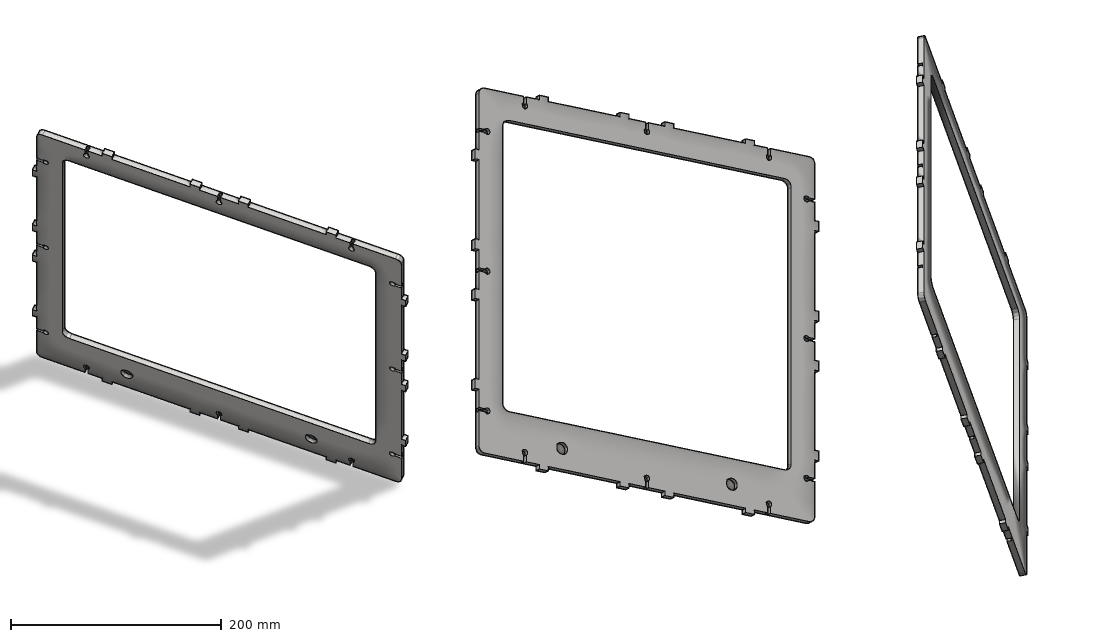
import cadquery as cq
overall_width = 385.0
overall_height = 376.0
thickness = 6.0

pocket_depth = 4.5

frame_width = 376.0
tab_reach = (overall_width - frame_width) / 2
frame_height = overall_height - 2 * tab_reach
corner_radius = 6.0

side_rail = 26.5
top_rail = 27.5
bottom_rail = 47.0
window_radius = 7.5
window_width = frame_width - 2 * side_rail
window_height = frame_height - top_rail - bottom_rail
window_center_z = (bottom_rail - top_rail) / 2

tab_width = 10.0
tab_inner_offset = 25.0
tab_outer_offset = 115.5
tab_offsets = (-tab_outer_offset, -tab_inner_offset, tab_inner_offset, tab_outer_offset)

slot_width = 3.0
slot_head_diameter = 5.8
slot_head_depth = 9.2
slot_offset_x = 136.5
slot_offset_z = 140.5

hole_diameter = 12.0
hole_offset_x = 95.0
hole_height = 21.0


def block(width, height, x=0, z=0, depth=thickness):
    """Rectangular block centred at (x, z), reaching back from the front face."""
    front = cq.Workplane("XZ", origin=(x, -thickness / 2, z))
    return front.rect(width, height).extrude(-depth)


def disc(diameter, x, z, depth=thickness):
    """Cylinder centred at (x, z), reaching back from the front face."""
    front = cq.Workplane("XZ", origin=(x, -thickness / 2, z))
    return front.circle(diameter / 2).extrude(-depth)


def keyhole(edge_distance):
    """Blind keyhole slot running down from a top edge at height edge_distance."""
    head_z = edge_distance - slot_head_depth
    neck = block(slot_width, slot_head_depth, 0, edge_distance - slot_head_depth / 2, pocket_depth)
    return neck.union(disc(slot_head_diameter, 0, head_z, pocket_depth))


def on_opposite_edges(shape, offsets, quarter_turn):
    """Copies of a top-edge shape at each offset, on both edges of a pair."""
    copies = []
    for offset in offsets:
        for turn in (quarter_turn, quarter_turn + 180):
            placed = shape.translate((offset, 0, 0))
            copies.append(placed.rotate((0, 0, 0), (0, 1, 0), turn))
    return copies


plate = block(frame_width, frame_height).edges("|Y").fillet(corner_radius)
window = block(window_width, window_height, 0, window_center_z).edges("|Y").fillet(window_radius)
result = plate.cut(window)

top_tab = block(tab_width, 2 * tab_reach, 0, frame_height / 2)
side_tab = block(tab_width, 2 * tab_reach, 0, frame_width / 2)
tabs = on_opposite_edges(top_tab, tab_offsets, 0) + on_opposite_edges(side_tab, tab_offsets, 90)
for tab in tabs:
    result = result.union(tab)

slots = on_opposite_edges(keyhole(frame_height / 2), (-slot_offset_x, 0, slot_offset_x), 0)
slots += on_opposite_edges(keyhole(frame_width / 2), (-slot_offset_z, 0, slot_offset_z), 90)
for slot in slots:
    result = result.cut(slot)

hole_z = hole_height - frame_height / 2
for hole_x in (-hole_offset_x, hole_offset_x):
    result = result.cut(disc(hole_diameter, hole_x, hole_z, pocket_depth))